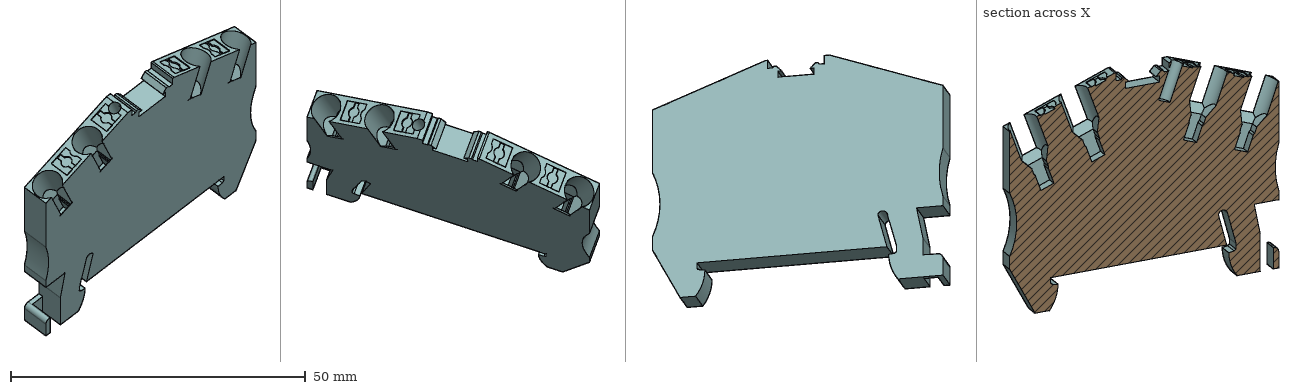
import cadquery as cq
import math


thickness = 5.15
length = 50.8
height = 41.5
half_length = length / 2
internals_offset = 0.05
internals_x = thickness / 2 + internals_offset

slope_angle = math.radians(20)
shoulder_z = 34.3
ridge_y = half_length - (height - shoulder_z) / math.tan(slope_angle)

scallop_top_z = 22.95
rear_scallop_bottom_z = 11.4
rear_scallop_depth = 1.3
front_scallop_bottom_z = 14.3
front_scallop_depth = 0.65

notch_mid_y = 0.3
notch_half_width = 4.95
notch_ledge_z = 40.05
rib_outer_half = 4.05
rib_crest_outer_half = 3.85
rib_crest_inner_half = 3.4
rib_tip_half = 2.5
rib_crest_z = 40.35
rib_tip_z = 39.35
channel_half_width = 3.15
channel_floor_z = 38.3

rail_mid_y = 0.15
rail_half_width = 17.4
rail_roof_z = 6.0
hook_toe_half = 17.7
hook_bend_half = 16.35
hook_bend_z = 2.55
hook_tip_half = 16.05
hook_tip_z = 4.55
hook_lip_half = 17.05
hook_lip_z = 4.7
hook_corner_z = 5.0

rear_chamfer_z = 9.0
rear_toe_y = 20.55

slot_mouth_y = -15.6
slot_inner_top_y = -14.0
slot_outer_top_y = -15.65
slot_side_top_z = 11.9
slot_top_z = 12.55
leg_top_z = 12.55
leg_top_y = -20.8
leg_knee_y = -21.9
leg_knee_z = 7.0
foot_top_z = 3.95
foot_radius = 0.9
foot_lip_thickness = 1.05
foot_web_thickness = 0.9

entry_x = 2.9
entry_y_positions = (13.15, 22.75)
entry_radius = 2.65
entry_depth = 6.15
shaft_width = 3.1
shaft_span = 2.85
funnel_depth = 2.45
shaft_upper_depth = 1.1
step_depth = 0.4
step_inset = 0.15
shaft_lower_depth = 3.05

button_y_positions = (8.35, 17.95)
button_size = 3.7
inner_half_recess = 0.05
outer_half_recess = 0.15
bite_intrusion = 0.4
screwdriver_slot_width = 0.8
screwdriver_hole_diameter = 1.95
screwdriver_recess = 0.4

test_diameter = 2.2
test_distance_y = 6.25
test_depth = 7.1


def notch_side(side):
    """Points of the marker notch from the top face down to the channel floor."""
    half_outline = [
        (notch_half_width, height),
        (notch_half_width, notch_ledge_z),
        (rib_outer_half, notch_ledge_z),
        (rib_crest_outer_half, rib_crest_z),
        (rib_crest_inner_half, rib_crest_z),
        (rib_tip_half, rib_tip_z),
        (channel_half_width, rib_tip_z),
        (channel_half_width, channel_floor_z),
    ]
    return [(notch_mid_y + side * half, z) for half, z in half_outline]


def rail_point(side, half, z):
    return (rail_mid_y + side * half, z)


def hook_lip(side):
    """Points of a rail hook from behind its tip to the corner under the rail recess."""
    return [
        rail_point(side, hook_lip_half, hook_lip_z),
        rail_point(side, rail_half_width, hook_corner_z),
    ]


def make_plate():
    outline = (
        cq.Workplane("YZ")
        .moveTo(half_length, shoulder_z)
        .lineTo(ridge_y, height)
    )
    for point in notch_side(1) + notch_side(-1)[::-1]:
        outline = outline.lineTo(*point)
    outline = (
        outline.lineTo(-ridge_y, height)
        .lineTo(-half_length, shoulder_z)
        .lineTo(-half_length, scallop_top_z)
        .threePointArc(
            (-half_length + front_scallop_depth, (scallop_top_z + front_scallop_bottom_z) / 2),
            (-half_length, front_scallop_bottom_z),
        )
        .lineTo(-half_length, leg_top_z)
        .lineTo(leg_top_y, leg_top_z)
        .lineTo(leg_knee_y, leg_knee_z)
        .lineTo(leg_knee_y, foot_top_z)
        .lineTo(-half_length + foot_radius, foot_top_z)
        .radiusArc((-half_length, foot_top_z - foot_radius), -foot_radius)
        .lineTo(-half_length, 0)
        .lineTo(*rail_point(-1, hook_toe_half, 0))
        .threePointArc(
            rail_point(-1, hook_bend_half, hook_bend_z),
            rail_point(-1, hook_tip_half, hook_tip_z),
        )
    )
    for point in hook_lip(-1):
        outline = outline.lineTo(*point)
    outline = (
        outline.lineTo(*rail_point(-1, rail_half_width, rail_roof_z))
        .lineTo(slot_outer_top_y, slot_side_top_z)
        .threePointArc(
            ((slot_outer_top_y + slot_inner_top_y) / 2, slot_top_z),
            (slot_inner_top_y, slot_side_top_z),
        )
        .lineTo(slot_mouth_y, rail_roof_z)
        .lineTo(*rail_point(1, rail_half_width, rail_roof_z))
    )
    for point in hook_lip(1)[::-1]:
        outline = outline.lineTo(*point)
    outline = (
        outline.lineTo(*rail_point(1, hook_tip_half, hook_tip_z))
        .threePointArc(
            rail_point(1, hook_bend_half, hook_bend_z),
            rail_point(1, hook_toe_half, 0),
        )
        .lineTo(rear_toe_y, 0)
        .lineTo(half_length, rear_chamfer_z)
        .lineTo(half_length, rear_scallop_bottom_z)
        .threePointArc(
            (half_length - rear_scallop_depth, (scallop_top_z + rear_scallop_bottom_z) / 2),
            (half_length, scallop_top_z),
        )
        .close()
    )
    return outline.extrude(thickness)


def foot_window():
    """Opening between leg and foot lip, closed only by a web on the -X side."""
    lip_inner_y = -half_length + foot_lip_thickness
    width = thickness - foot_web_thickness
    window = cq.Workplane("XY").box(width, leg_knee_y - lip_inner_y, foot_top_z, centered=False)
    return window.translate((foot_web_thickness, lip_inner_y, 0))


def on_slope(side, x, distance_y, depth=0):
    """Workplane parallel to a shoulder, at a depth below it, facing outwards."""
    normal_y = side * math.sin(slope_angle)
    normal_z = math.cos(slope_angle)
    surface_z = shoulder_z + (half_length - distance_y) * math.tan(slope_angle)
    origin = (x, side * distance_y - depth * normal_y, surface_z - depth * normal_z)
    return cq.Workplane(cq.Plane(origin=origin, xDir=(1, 0, 0), normal=(0, normal_y, normal_z)))


def wire_entry(side, distance_y):
    """Cutter for one wire entry, sunk at right angles to its shoulder."""
    def plane(depth, x=internals_x):
        return on_slope(side, x, distance_y, depth)

    rim_clearance = 2.05
    funnel_end = entry_depth + funnel_depth
    shaft_shift = internals_x - entry_x
    bore = plane(-rim_clearance, entry_x).circle(entry_radius).extrude(-entry_depth - rim_clearance)
    funnel = (
        plane(entry_depth, entry_x)
        .rect(2 * entry_radius, 2 * entry_radius)
        .workplane(offset=-funnel_depth)
        .center(shaft_shift, 0)
        .rect(shaft_width, shaft_span)
        .loft()
    )
    bore_extension = plane(entry_depth, entry_x).circle(entry_radius).extrude(-funnel_depth)
    step_span = shaft_span - 2 * step_inset
    step_start = funnel_end + shaft_upper_depth
    upper_shaft = plane(funnel_end).rect(shaft_width, shaft_span).extrude(-shaft_upper_depth)
    step = (
        plane(step_start)
        .rect(shaft_width, shaft_span)
        .workplane(offset=-step_depth)
        .rect(shaft_width, step_span)
        .loft()
    )
    lower_shaft = plane(step_start + step_depth).rect(shaft_width, step_span).extrude(-shaft_lower_depth)
    tapered = funnel.intersect(bore_extension)
    return bore.union(tapered).union(upper_shaft).union(step).union(lower_shaft)


def release_button(side, distance_y):
    """Stepped button recess with a bitten inner edge and a keyhole screwdriver slot."""
    face = on_slope(side, internals_x, distance_y)
    half_size = button_size / 2
    inward = -side

    def button_half(direction, recess):
        return face.center(0, direction * half_size / 2).rect(button_size, half_size).extrude(-recess)

    bite_offset = half_size + test_diameter / 2 - bite_intrusion
    bite = face.center(0, inward * bite_offset).circle(test_diameter / 2).extrude(-inner_half_recess)
    slot = face.rect(button_size, screwdriver_slot_width).extrude(-screwdriver_recess)
    hole = face.circle(screwdriver_hole_diameter / 2).extrude(-screwdriver_recess)
    inner_half = button_half(inward, inner_half_recess).cut(bite)
    outer_half = button_half(-inward, outer_half_recess)
    return inner_half.union(outer_half).union(slot).union(hole)


def test_socket():
    rim_clearance = 1.0
    return (
        on_slope(-1, internals_x, test_distance_y, -rim_clearance)
        .circle(test_diameter / 2)
        .extrude(-test_depth - rim_clearance)
    )


result = make_plate().cut(foot_window())
for side in (1, -1):
    for distance_y in entry_y_positions:
        result = result.cut(wire_entry(side, distance_y))
    for distance_y in button_y_positions:
        result = result.cut(release_button(side, distance_y))
result = result.cut(test_socket())